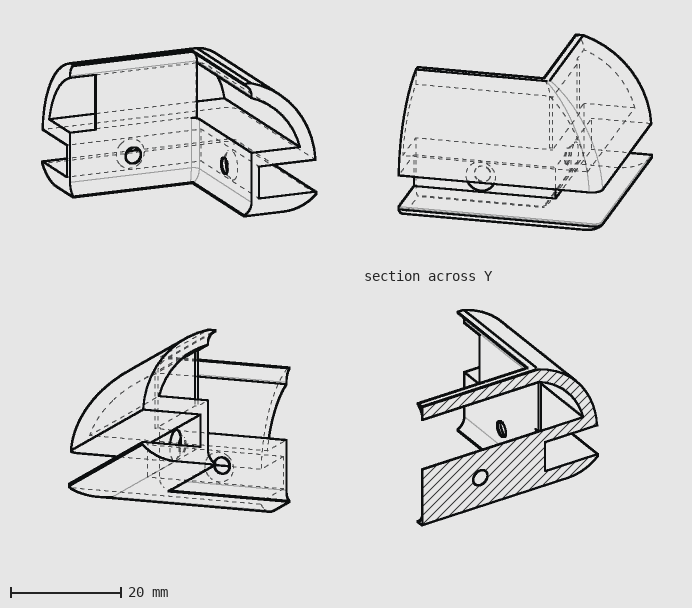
import cadquery as cq
import math

leg_length = 37.8
height = 25.0
leg_width = 14.25

wall_inner = 12.78
wall_thickness = 1.47
wall_outer = wall_inner - wall_thickness
groove_bottom = 3.05
groove_top = 9.07
ledge_height = 11.85

hood_center_offset = 17.73
hood_center_height = 8.05
hood_outer_radius = 17.6
hood_thickness = 2.65
hood_inner_radius = hood_outer_radius - hood_thickness

flare_radius = 2.5
lip_thickness = 0.2

flange_arc_start = 6.43
flange_arc_radius = 9.25

hood_corner_radius = 2.0
flange_corner_radius = 1.5
inner_corner_radius = 1.1
flange_tip_radius = 0.2

selection_margin = 0.05

web_thickness = 0.53
web_setback = 5.15

hole_position = (leg_length + wall_inner) / 2
hole_height = (groove_bottom + groove_top) / 2
hole_diameter = 3.02
countersink_diameter = 5.5
countersink_angle = 90.0


def hood_offset(radius, z):
    """Offset of the point at height z on a hood arc."""
    return hood_center_offset - math.sqrt(radius**2 - (z - hood_center_height) ** 2)


def hood_height(radius, offset):
    """Height of the point at the given offset on a hood arc."""
    return hood_center_height + math.sqrt(radius**2 - (hood_center_offset - offset) ** 2)


flare_width = leg_width - wall_inner
flare_height = math.sqrt(flare_radius**2 - (flare_radius - flare_width) ** 2)
lower_flare_end = lip_thickness + flare_height
upper_flare_end = height - lip_thickness - flare_height

flange_tip_height = flange_arc_radius - math.sqrt(flange_arc_radius**2 - flange_arc_start**2)
cavity_top = hood_height(hood_inner_radius, wall_inner)


def leg_section():
    """Closed section of a leg in the XZ plane."""
    return (
        cq.Workplane("XZ")
        .moveTo(flange_arc_start, 0)
        .lineTo(leg_width, 0)
        .lineTo(leg_width, lip_thickness)
        .radiusArc((wall_inner, lower_flare_end), flare_radius)
        .lineTo(wall_inner, ledge_height)
        .lineTo(hood_offset(hood_inner_radius, ledge_height), ledge_height)
        .radiusArc((wall_inner, cavity_top), hood_inner_radius)
        .lineTo(wall_inner, upper_flare_end)
        .radiusArc((leg_width, height - lip_thickness), flare_radius)
        .lineTo(leg_width, height)
        .lineTo(hood_offset(hood_outer_radius, height), height)
        .radiusArc((hood_offset(hood_outer_radius, groove_top), groove_top), -hood_outer_radius)
        .lineTo(wall_outer, groove_top)
        .lineTo(wall_outer, groove_bottom)
        .lineTo(0, groove_bottom)
        .lineTo(0, flange_tip_height)
        .radiusArc((flange_arc_start, 0), -flange_arc_radius)
        .close()
    )


def mitred_leg():
    """Leg along -Y, cut at 45 degrees at the corner."""
    leg = leg_section().extrude(leg_length)
    miter = (
        cq.Workplane("XY")
        .polyline([(0, 0), (leg_length, -leg_length), (0, -leg_length)])
        .close()
        .extrude(height)
    )
    return leg.intersect(miter)


def swap_legs(body):
    """Mirror a body across the miter plane, turning the Y leg into the X leg."""
    return body.rotate((0, 0, 0), (0, 0, 1), 90).mirror("XZ")


def corner_edges(x_min, x_max, z_min, z_max):
    """Selector for miter edges inside the given range of offset and height."""
    return cq.selectors.BoxSelector((x_min, -x_max, z_min), (x_max, -x_min, z_max))


def flange_rim_edges():
    """Selector for the upper rim of the flange along both legs and around the corner."""
    z_min = groove_bottom - selection_margin
    z_max = groove_bottom + selection_margin
    y_leg_rim = cq.selectors.BoxSelector(
        (-selection_margin, -leg_length, z_min), (flange_corner_radius, selection_margin, z_max)
    )
    x_leg_rim = cq.selectors.BoxSelector(
        (-selection_margin, -flange_corner_radius, z_min), (leg_length, selection_margin, z_max)
    )
    return y_leg_rim + x_leg_rim


def screw_hole():
    """Countersunk hole through the inner wall of the Y leg, entered from the groove."""
    depth = (countersink_diameter - hole_diameter) / 2 / math.tan(math.radians(countersink_angle / 2))
    face = cq.Workplane("YZ", origin=(wall_outer, -hole_position, hole_height))
    drill = face.circle(hole_diameter / 2).extrude(wall_thickness)
    cone = cq.Solid.makeCone(
        countersink_diameter / 2,
        hole_diameter / 2,
        depth,
        cq.Vector(wall_outer, -hole_position, hole_height),
        cq.Vector(1, 0, 0),
    )
    return drill.union(cq.Workplane(cone))


def cavity_web():
    """Thin wall from the ledge up into the hood, flush with the inner wall of the Y leg."""
    web_length = leg_length - web_setback - wall_inner
    web_outer = wall_inner - web_thickness
    return (
        cq.Workplane("XZ", origin=(0, -wall_inner, 0))
        .moveTo(web_outer, ledge_height)
        .lineTo(wall_inner, ledge_height)
        .lineTo(wall_inner, cavity_top)
        .radiusArc((web_outer, hood_height(hood_inner_radius, web_outer)), -hood_inner_radius)
        .close()
        .extrude(web_length)
    )


y_leg = mitred_leg()
result = y_leg.union(swap_legs(y_leg))

hood_selection_limit = (wall_inner + hood_offset(hood_outer_radius, groove_top)) / 2

inner_corner_edges = corner_edges(wall_inner - selection_margin, leg_width, lip_thickness, ledge_height)
outer_hood_edge = corner_edges(0, hood_selection_limit, ledge_height, height)
flange_corner_edges = corner_edges(
    -selection_margin, flange_arc_start, selection_margin, groove_bottom - selection_margin
)

result = result.edges(inner_corner_edges).fillet(inner_corner_radius)
result = result.edges(outer_hood_edge).fillet(hood_corner_radius)
result = result.edges(flange_corner_edges).fillet(flange_corner_radius)

result = result.edges(flange_rim_edges()).fillet(flange_tip_radius)

hole = screw_hole()
result = result.union(cavity_web()).cut(hole).cut(swap_legs(hole))